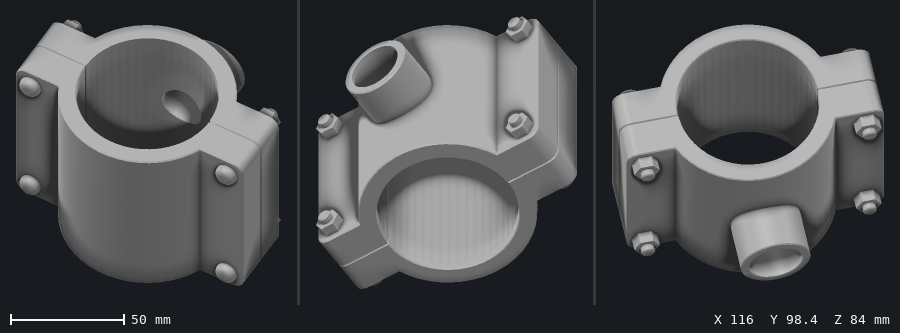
import cadquery as cq
import math

bore_diameter = 63.0
wall = 8.0
bore_radius = bore_diameter / 2
outer_radius = bore_radius + wall
body_length = 84.0
flange_span = 116.0
flange_thickness = 16.0
flange_root_x = math.sqrt(outer_radius**2 - flange_thickness**2)
corner_radius = 5.5
edge_chamfer = 0.5

branch_diameter = 31.35
branch_end_y = 58.88
branch_bore_diameter = 24.12
branch_bore_end_y = 42.0
port_diameter = 20.0

screw_inset = 8.0
screw_x = flange_span / 2 - screw_inset
screw_z = body_length / 2 - screw_inset
screw_diameter = 6.0
screw_end_y = 24.0
head_diameter = 10.0
head_height = 4.0
head_rim_height = 1.0
head_flat_diameter = 4.0
nut_across_flats = 10.0
nut_thickness = 5.0


def y_cylinder(diameter, start_y, end_y):
    """Cylinder along +Y, centred on the Y axis."""
    plane = cq.Workplane("XZ", origin=(0, start_y, 0))
    return plane.circle(diameter / 2).extrude(start_y - end_y)


def clamp_half(chamfer_bore_ends):
    """The +Y half of the split clamp, with its mating face on the XZ plane."""
    half = (
        cq.Workplane("XY", origin=(0, 0, -body_length / 2))
        .moveTo(bore_radius, 0)
        .lineTo(flange_span / 2, 0)
        .lineTo(flange_span / 2, flange_thickness)
        .lineTo(flange_root_x, flange_thickness)
        .threePointArc((0, outer_radius), (-flange_root_x, flange_thickness))
        .lineTo(-flange_span / 2, flange_thickness)
        .lineTo(-flange_span / 2, 0)
        .lineTo(-bore_radius, 0)
        .threePointArc((0, bore_radius), (bore_radius, 0))
        .close()
        .extrude(body_length)
    )
    flange_ends = half.faces("<X or >X")
    half = flange_ends.edges("|Y").fillet(corner_radius)

    def is_arc_of(edge, radius):
        return edge.geomType() == "CIRCLE" and math.isclose(edge.radius(), radius)

    def is_chamfered(edge):
        center = edge.Center()
        on_mating_face = edge.BoundingBox().ymax < edge_chamfer
        on_flange_face = math.isclose(center.y, flange_thickness)
        outside_root = abs(center.x) > flange_root_x + edge_chamfer
        if is_arc_of(edge, bore_radius):
            return chamfer_bore_ends
        return on_mating_face or is_arc_of(edge, outer_radius) or (on_flange_face and outside_root)

    chamfered_edges = [edge for edge in half.edges().vals() if is_chamfered(edge)]
    return half.newObject(chamfered_edges).chamfer(edge_chamfer)


def add_branch(half):
    """Join the branch pipe to a clamp half and open it into the bore."""
    pipe = y_cylinder(branch_diameter, bore_radius + wall / 2, branch_end_y)
    pipe = pipe.faces(">Y").edges().chamfer(edge_chamfer)
    half = half.union(pipe)
    half = half.cut(y_cylinder(port_diameter, 0, branch_end_y))
    return half.cut(y_cylinder(branch_bore_diameter, branch_bore_end_y, branch_end_y))


def fastener():
    """Button-head screw along +Y with its nut, centred on the Y axis."""
    head_y = -flange_thickness
    shank = y_cylinder(screw_diameter, head_y, screw_end_y)
    shank = shank.faces(">Y").edges().chamfer(edge_chamfer)
    rim_y = head_y - head_rim_height
    top_y = head_y - head_height
    rim_r = head_diameter / 2
    flat_r = head_flat_diameter / 2
    head = (
        cq.Workplane("XY")
        .moveTo(0, head_y)
        .lineTo(rim_r, head_y)
        .lineTo(rim_r, rim_y)
        .radiusArc((flat_r, top_y), head_height - head_rim_height)
        .lineTo(0, top_y)
        .close()
        .revolve(360, (0, 0, 0), (0, 1, 0))
    )
    nut = (
        cq.Workplane("XZ", origin=(0, flange_thickness, 0))
        .polygon(6, nut_across_flats / math.cos(math.pi / 6))
        .extrude(-nut_thickness)
    )
    return shank.union(head).union(nut)


plain_half = clamp_half(chamfer_bore_ends=True).mirror("XZ")
branch_half = add_branch(clamp_half(chamfer_bore_ends=False))
result = plain_half.union(branch_half)
for x in (-screw_x, screw_x):
    for z in (-screw_z, screw_z):
        result = result.union(fastener().translate((x, 0, z)))